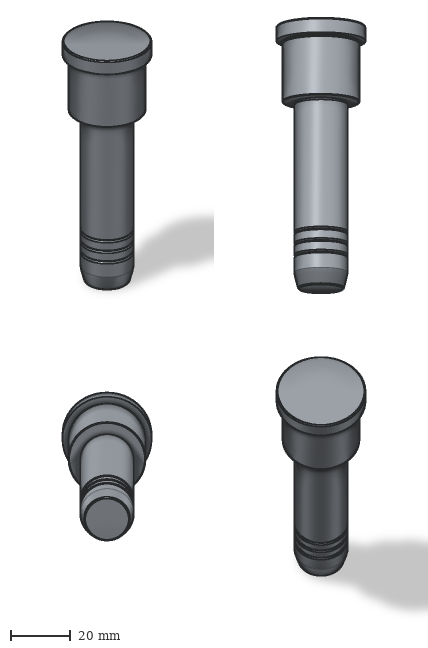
import cadquery as cq

total_length = 90.0
head_radius = 14.985
head_thickness = 5.0
head_chamfer = 0.45
collar_radius = 13.0
collar_bottom = total_length - 26.0
collar_chamfer = 0.3
shaft_radius = 9.0

head_relief_depth = 0.4
head_relief_height = 0.45
head_relief_taper = 0.5
collar_relief_depth = 0.9

groove_count = 3
groove_pitch = 4.0
lowest_groove_center = 11.2
groove_depth = 0.5

nose_height = 5.7
nose_radius = 7.7
nose_bulge = 0.11
tip_chamfer = 0.45


def make_head():
    """Disc with a chamfered top rim."""
    head = cq.Workplane("XY").workplane(offset=total_length - head_thickness)
    return head.circle(head_radius).extrude(head_thickness).faces(">Z").chamfer(head_chamfer)


def make_collar():
    """Thick cylinder with a tapered relief under the head."""
    top = total_length - head_thickness
    relief_radius = collar_radius - head_relief_depth
    relief_bottom = top - head_relief_height
    profile = [
        (0, collar_bottom),
        (collar_radius - collar_chamfer, collar_bottom),
        (collar_radius, collar_bottom + collar_chamfer),
        (collar_radius, relief_bottom - head_relief_taper),
        (relief_radius, relief_bottom),
        (relief_radius, top),
        (0, top),
    ]
    return cq.Workplane("XZ").polyline(profile).close().revolve(360, (0, 0), (0, 1))


def make_shaft():
    """Shaft with a gently curved nose and a 45-degree relief under the collar."""
    relief_radius = shaft_radius - collar_relief_depth
    nose_middle = (
        (nose_radius + shaft_radius) / 2 + nose_bulge,
        (tip_chamfer + nose_height) / 2,
    )
    return (
        cq.Workplane("XZ")
        .lineTo(nose_radius - tip_chamfer, 0)
        .lineTo(nose_radius, tip_chamfer)
        .threePointArc(nose_middle, (shaft_radius, nose_height))
        .lineTo(shaft_radius, collar_bottom - collar_relief_depth)
        .lineTo(relief_radius, collar_bottom)
        .lineTo(0, collar_bottom)
        .close()
        .revolve(360, (0, 0), (0, 1))
    )


def make_groove(center):
    """Ring with a 45-degree V section, used to cut one groove."""
    profile = [
        (shaft_radius, center - groove_depth),
        (shaft_radius - groove_depth, center),
        (shaft_radius, center + groove_depth),
    ]
    return cq.Workplane("XZ").polyline(profile).close().revolve(360, (0, 0), (0, 1))


result = make_shaft().union(make_collar()).union(make_head())
for index in range(groove_count):
    result = result.cut(make_groove(lowest_groove_center + index * groove_pitch))